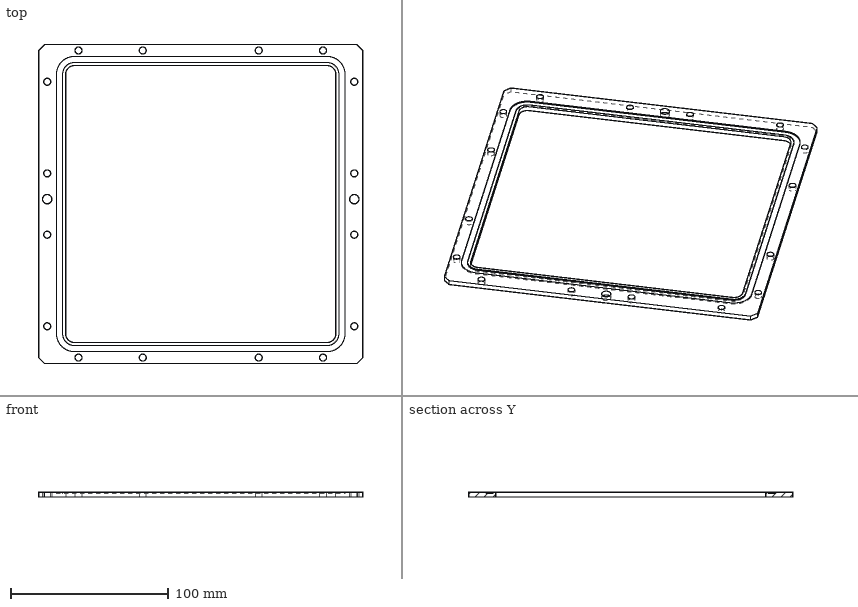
import cadquery as cq

length_x = 206.35
length_y = 203.07
thickness = 3.17
corner_chamfer = 3.8

opening_x = 171.8
opening_y = 176.1
opening_corner_radius = 5.5

lip_width = 2.0
groove_width = 3.9
groove_depth = 0.8
groove_inner_radius = opening_corner_radius + lip_width
groove_outer_radius = groove_inner_radius + groove_width

screw_diameter = 4.3
end_row_y = 97.7
end_row_x_positions = (36.9, 77.8)
side_row_x = 97.7
side_row_y_positions = (19.5, 77.8)

locating_diameter = 5.8
locating_y = 3.1


def rounded_block(size_x, size_y, corner_radius, bottom_z, height):
    """Rectangular block with rounded vertical edges, centred on the Z axis."""
    block = cq.Workplane("XY", origin=(0, 0, bottom_z)).rect(size_x, size_y).extrude(height)
    return block.edges("|Z").fillet(corner_radius)


def make_plate():
    """Chamfered plate with the central opening cut through."""
    plate = cq.Workplane("XY").rect(length_x, length_y).extrude(thickness)
    plate = plate.edges("|Z").chamfer(corner_chamfer)
    return plate.cut(rounded_block(opening_x, opening_y, opening_corner_radius, 0, thickness))


def make_groove():
    """Closed ring that is cut from the top face, concentric with the opening."""
    inner_x = opening_x + 2 * lip_width
    inner_y = opening_y + 2 * lip_width
    outer_x = inner_x + 2 * groove_width
    outer_y = inner_y + 2 * groove_width
    floor_z = thickness - groove_depth
    outer = rounded_block(outer_x, outer_y, groove_outer_radius, floor_z, groove_depth)
    inner = rounded_block(inner_x, inner_y, groove_inner_radius, floor_z, groove_depth)
    return outer.cut(inner)


def make_holes(points, diameter):
    """Pins that cut through holes of one diameter at the given points."""
    return cq.Workplane("XY").pushPoints(points).circle(diameter / 2).extrude(thickness)


screw_points = []
for side_x in (-1, 1):
    for side_y in (-1, 1):
        for x in end_row_x_positions:
            screw_points.append((side_x * x, side_y * end_row_y))
        for y in side_row_y_positions:
            screw_points.append((side_x * side_row_x, side_y * y))

locating_points = [(-side_row_x, locating_y), (side_row_x, locating_y)]

result = make_plate().cut(make_groove())
result = result.cut(make_holes(screw_points, screw_diameter))
result = result.cut(make_holes(locating_points, locating_diameter))